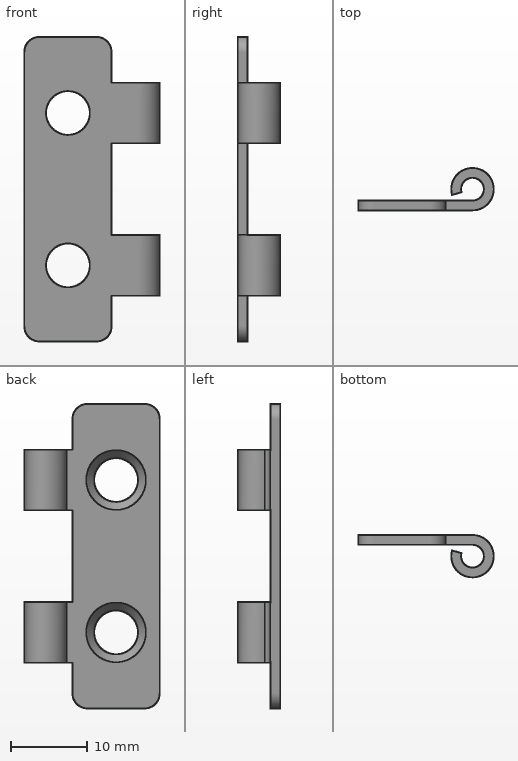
import cadquery as cq
import math

leaf_height = 40.0
leaf_width = 11.5
thickness = 1.3
corner_radius = 2.0
hole_diameter = 5.7
countersink_diameter = 7.85
hole_spacing = 20.0

total_width = 17.8
curl_outer_radius = 2.8
curl_inner_radius = curl_outer_radius - thickness
curl_center_x = total_width - curl_outer_radius
curl_end_angle = 196.0
knuckle_height = 8.0
feature_heights = (
    (leaf_height - hole_spacing) / 2,
    (leaf_height + hole_spacing) / 2,
)


def make_leaf():
    """Plate with rounded corners and a tapered screw hole level with each knuckle."""
    plate = cq.Workplane("XY").box(leaf_width, thickness, leaf_height, centered=False)
    plate = plate.edges("|Y").fillet(corner_radius)
    for height in feature_heights:
        hole = (
            cq.Workplane("XZ")
            .center(leaf_width / 2, height)
            .circle(hole_diameter / 2)
            .workplane(offset=-thickness)
            .circle(countersink_diameter / 2)
            .loft()
        )
        plate = plate.cut(hole)
    return plate


def curl_point(radius, angle):
    """Point on a circle about the curl axis, angle in degrees."""
    return (
        curl_center_x + radius * math.cos(math.radians(angle)),
        curl_outer_radius + radius * math.sin(math.radians(angle)),
    )


def make_knuckle(mid_height):
    """Tab that leaves the leaf edge and rolls round into an open eye."""
    tab_start = leaf_width
    curl_start_angle = -90.0
    curl_mid_angle = (curl_start_angle + curl_end_angle) / 2
    return (
        cq.Workplane("XY", origin=(0, 0, mid_height - knuckle_height / 2))
        .moveTo(tab_start, 0)
        .lineTo(*curl_point(curl_outer_radius, curl_start_angle))
        .threePointArc(
            curl_point(curl_outer_radius, curl_mid_angle),
            curl_point(curl_outer_radius, curl_end_angle),
        )
        .lineTo(*curl_point(curl_inner_radius, curl_end_angle))
        .threePointArc(
            curl_point(curl_inner_radius, curl_mid_angle),
            curl_point(curl_inner_radius, curl_start_angle),
        )
        .lineTo(tab_start, thickness)
        .close()
        .extrude(knuckle_height)
    )


result = make_leaf()
for height in feature_heights:
    result = result.union(make_knuckle(height))